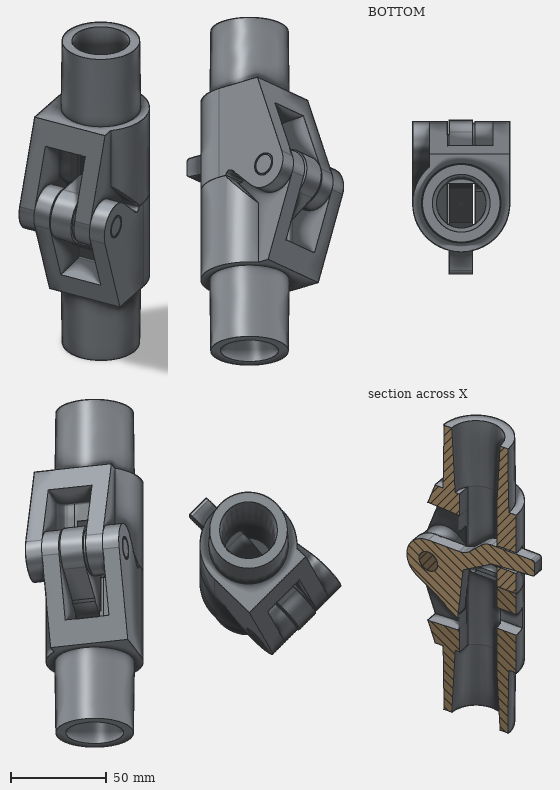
import cadquery as cq
import math

BODY_WIDTH = 51.0
BODY_RADIUS = BODY_WIDTH / 2
TOP_FRONT_Y = -25.7
BODY_HEIGHT = 50.0
LUG_SPLIT = 16.5
MIDDLE_GAP = 14.5
INNER_GAP = MIDDLE_GAP / 2
PIVOT_Y = -29.9
LUG_RADIUS = 13.0
RELIEF_Y = -7.0
RELIEF_RADIUS = 2.3
NOTCH_ANGLE = 47

POCKET_BACK_Y = -10.8
POCKET_HEIGHT = 36.2
POCKET_DRAFT = 3
POCKET_CORNER = 4.7
POCKET_EDGE = 0.7

SPIGOT_END = 90
SPIGOT_ROOT_RADIUS = 20.9
SPIGOT_END_RADIUS = 20.3
BORE_END_RADIUS = 15.1
BORE_RADIUS = 13.0
CHAMBER_TOP = 26.0
FLOOR_THICKNESS = 2.5
WEB_THICKNESS = 0.5
WINDOW_WIDTH = 12.6
TAB_SLOT_BOTTOM = 13.1

PIN_DIAMETER = 12.0
PIN_RADIUS = PIN_DIAMETER / 2
PIN_CHAMFER = 0.81

LINK_LEFT = -6.3
LINK_RIGHT = 6.0
HUB_RADIUS = 13.7
HUB_END_ANGLE = 237
BEND_RADIUS = 10.3
BEND_ANGLE = 43
TAB_FRONT_Y = 10.0
TAB_REAR_Y = 37.0
TAB_TOP = 25.4
TAB_BOTTOM_REAR = 15.3
TAB_ROUND = 2.0
ARM_BOTTOM_FRONT = (-8.0, 2.7)
LOBE_TIP = (-11.3, -29.5)
LOBE_TIP_FLAT = (-13.0, -28.3)
LOBE_STEP_LOW = (-19.5, -24.0)
LOBE_STEP_HIGH = (-20.3, -22.5)
WASHER_RADIUS = 12.2

FAR = 2 * BODY_RADIUS


def polar(center, radius, degrees):
    """Point (y, z) on a circle, angle measured from +Y towards +Z."""
    angle = math.radians(degrees)
    return (center[0] + radius * math.cos(angle), center[1] + radius * math.sin(angle))


def side_sketch(x):
    """Workplane at the given X, with local axes Y and Z."""
    return cq.Workplane("YZ", origin=(x, 0, 0))


def disc(x_start, x_end, y, radius):
    return side_sketch(x_start).center(y, 0).circle(radius).extrude(x_end - x_start)


def block(x_range, y_range, z_range):
    sizes = [high - low for low, high in (x_range, y_range, z_range)]
    corner = (x_range[0], y_range[0], z_range[0])
    return cq.Workplane("XY").box(*sizes, centered=False).translate(corner)


PIVOT = (PIVOT_Y, 0)
RELIEF = (RELIEF_Y, 0)

UNDERSIDE_ANGLE = math.degrees(math.asin((LUG_RADIUS + RELIEF_RADIUS) / (RELIEF_Y - PIVOT_Y)))
UNDERSIDE_LUG = polar(PIVOT, LUG_RADIUS, UNDERSIDE_ANGLE - 90)
UNDERSIDE_RELIEF = polar(RELIEF, RELIEF_RADIUS, UNDERSIDE_ANGLE + 90)
UNDERSIDE_CROSSING = (PIVOT_Y + LUG_RADIUS / math.sin(math.radians(UNDERSIDE_ANGLE)), 0)

TOP_FRONT = (TOP_FRONT_Y, BODY_HEIGHT)
TOP_DISTANCE = math.hypot(TOP_FRONT[0] - PIVOT_Y, BODY_HEIGHT)
TOP_DIRECTION = math.degrees(math.atan2(BODY_HEIGHT, TOP_FRONT[0] - PIVOT_Y))
FRONT_ANGLE = TOP_DIRECTION + math.degrees(math.acos(LUG_RADIUS / TOP_DISTANCE))


def lug_block():
    """Prism from the round body to the pivot, with the lug rounding at its lower front."""
    arc_middle = polar(PIVOT, LUG_RADIUS, (FRONT_ANGLE + UNDERSIDE_ANGLE + 270) / 2)
    return (
        side_sketch(-BODY_RADIUS)
        .moveTo(0, BODY_HEIGHT)
        .lineTo(*TOP_FRONT)
        .lineTo(*polar(PIVOT, LUG_RADIUS, FRONT_ANGLE))
        .threePointArc(arc_middle, UNDERSIDE_LUG)
        .lineTo(*UNDERSIDE_RELIEF)
        .lineTo(*RELIEF)
        .lineTo(0, 0)
        .close()
        .extrude(BODY_RADIUS + LUG_SPLIT)
    )


def lug_root_relief():
    groove = disc(-FAR, FAR, RELIEF_Y, RELIEF_RADIUS)
    wedge = (
        side_sketch(-FAR)
        .polyline([RELIEF, UNDERSIDE_CROSSING, UNDERSIDE_RELIEF])
        .close()
        .extrude(2 * FAR)
    )
    return groove.union(wedge)


def lug_notch(x_start, x_end):
    """Room for a lug of the other half: everything in front of and below the clearance slope."""
    start = polar(RELIEF, RELIEF_RADIUS, 90 - NOTCH_ANGLE)
    rise = (start[0] + FAR) * math.tan(math.radians(NOTCH_ANGLE))
    outline = [start, (-FAR, start[1] + rise), (-FAR, -FAR), (RELIEF_Y, -FAR), RELIEF]
    return side_sketch(x_start).polyline(outline).close().extrude(x_end - x_start)


def front_pocket():
    depth = FAR + POCKET_BACK_Y
    rise = depth * math.tan(math.radians(POCKET_DRAFT))
    outline = [
        (POCKET_BACK_Y, -FAR),
        (POCKET_BACK_Y, POCKET_HEIGHT),
        (-FAR, POCKET_HEIGHT + rise),
        (-FAR, -FAR),
    ]
    pocket = side_sketch(-LUG_SPLIT).polyline(outline).close().extrude(LUG_SPLIT + INNER_GAP)
    pocket = pocket.edges("|Z and >Y and <X").fillet(POCKET_CORNER)
    return pocket.faces("<X").edges(">Z").fillet(POCKET_EDGE)


def spigot():
    outline = [
        (0, BODY_HEIGHT),
        (SPIGOT_ROOT_RADIUS, BODY_HEIGHT),
        (SPIGOT_END_RADIUS, SPIGOT_END),
        (0, SPIGOT_END),
    ]
    return cq.Workplane("XZ").polyline(outline).close().revolve(360, (0, 0), (0, 1))


def inner_chamber():
    """Tapered spigot bore, straight bore behind the pocket, floor slot and tab slot."""
    outline = [
        (0, FLOOR_THICKNESS),
        (BORE_RADIUS, FLOOR_THICKNESS),
        (BORE_RADIUS, BODY_HEIGHT),
        (BORE_END_RADIUS, SPIGOT_END),
        (0, SPIGOT_END),
    ]
    bore = cq.Workplane("XZ").polyline(outline).close().revolve(360, (0, 0), (0, 1))
    web = block(
        (-BORE_RADIUS, BORE_RADIUS),
        (-BORE_RADIUS, POCKET_BACK_Y + WEB_THICKNESS),
        (FLOOR_THICKNESS, BODY_HEIGHT),
    )
    window = block((-WINDOW_WIDTH / 2, WINDOW_WIDTH / 2), (-BORE_RADIUS, 0), (0, CHAMBER_TOP))
    slot_x = (-INNER_GAP, INNER_GAP)
    floor_slot = block(slot_x, (-BORE_RADIUS, BORE_RADIUS), (0, FLOOR_THICKNESS))
    floor_slot = floor_slot.intersect(cq.Workplane("XY").circle(BORE_RADIUS).extrude(FLOOR_THICKNESS))
    tab_slot = block(slot_x, (0, FAR), (TAB_SLOT_BOTTOM, CHAMBER_TOP))
    return bore.cut(web).union(window).union(floor_slot).union(tab_slot)


def housing_half():
    body = cq.Workplane("XY").circle(BODY_RADIUS).extrude(BODY_HEIGHT)
    body = body.cut(lug_root_relief()).union(lug_block().cut(lug_root_relief()))
    body = body.union(spigot())
    body = body.cut(front_pocket()).cut(lug_notch(-LUG_SPLIT, INNER_GAP)).cut(lug_notch(LUG_SPLIT, FAR))
    body = body.cut(inner_chamber())
    return body.cut(disc(-FAR, FAR, PIVOT_Y, PIN_RADIUS))


def hinge_pin():
    pin = disc(-BODY_RADIUS, BODY_RADIUS, PIVOT_Y, PIN_RADIUS)
    return pin.faces("<X or >X").chamfer(PIN_CHAMFER)


def locking_link():
    """Hub on the pin, S-shaped arm up to the rear tab, and a stop lobe below the hub."""
    bend = math.radians(BEND_ANGLE)
    bend_run = BEND_RADIUS * math.sin(bend)
    bend_rise = BEND_RADIUS * (1 - math.cos(bend))
    slope_run = (TAB_TOP - HUB_RADIUS - 2 * bend_rise) / math.tan(bend)
    upper_center = (TAB_FRONT_Y, TAB_TOP - BEND_RADIUS)
    lower_center = (TAB_FRONT_Y - 2 * bend_run - slope_run, HUB_RADIUS + BEND_RADIUS)
    link = (
        side_sketch(LINK_LEFT)
        .moveTo(PIVOT_Y, HUB_RADIUS)
        .lineTo(lower_center[0], HUB_RADIUS)
        .threePointArc(
            polar(lower_center, BEND_RADIUS, BEND_ANGLE / 2 - 90),
            polar(lower_center, BEND_RADIUS, BEND_ANGLE - 90),
        )
        .lineTo(*polar(upper_center, BEND_RADIUS, BEND_ANGLE + 90))
        .threePointArc(polar(upper_center, BEND_RADIUS, BEND_ANGLE / 2 + 90), (TAB_FRONT_Y, TAB_TOP))
        .lineTo(TAB_REAR_Y, TAB_TOP)
        .lineTo(TAB_REAR_Y, TAB_BOTTOM_REAR)
        .lineTo(TAB_FRONT_Y, TAB_SLOT_BOTTOM)
        .lineTo(*ARM_BOTTOM_FRONT)
        .lineTo(*LOBE_TIP)
        .lineTo(*LOBE_TIP_FLAT)
        .lineTo(*LOBE_STEP_LOW)
        .lineTo(*LOBE_STEP_HIGH)
        .lineTo(*polar(PIVOT, HUB_RADIUS, HUB_END_ANGLE))
        .threePointArc(polar(PIVOT, HUB_RADIUS, (HUB_END_ANGLE + 90) / 2), (PIVOT_Y, HUB_RADIUS))
        .close()
        .extrude(LINK_RIGHT - LINK_LEFT)
    )
    link = link.faces(">Y").edges("|X").fillet(TAB_ROUND)
    return link.cut(disc(LINK_LEFT, LINK_RIGHT, PIVOT_Y, PIN_RADIUS))


def washer():
    ring = disc(LINK_RIGHT, INNER_GAP, PIVOT_Y, WASHER_RADIUS)
    return ring.cut(disc(LINK_RIGHT, INNER_GAP, PIVOT_Y, PIN_RADIUS))


bodies = [housing_half().rotate((0, 0, 0), (0, 1, 0), turn).val() for turn in (0, 180)]
bodies += [hinge_pin().val(), locking_link().val(), washer().val()]
result = cq.Compound.makeCompound(bodies)